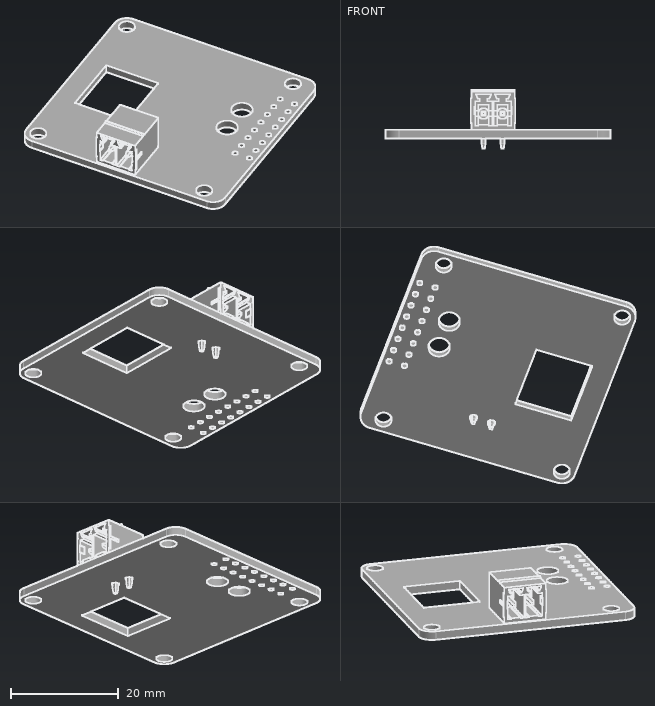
import cadquery as cq

BOARD_X = 41.9
BOARD_Y = 40.0
BOARD_T = 1.68
CORNER_R = 2.5

MOUNT_D = 3.0
MOUNT_INSET = 2.5
MOUNT_PITCH = 35.0

HEADER_D = 1.0
HEADER_COLUMNS = 2
HEADER_ROWS = 8
HEADER_PITCH_X = 3.0
HEADER_SPAN_Y = 17.75
HEADER_CENTER_Y = 3.6

CABLE_D = 4.0
CABLE_X = 11.75
CABLE_CENTER_Y = 3.48
CABLE_PITCH = 5.82

WINDOW_X = 10.98
WINDOW_Y = 12.3
WINDOW_CENTER = (-11.05, -0.35)

PIN_HOLE_D = 1.4

CONN_X = -0.92
CONN_W = 8.1
CONN_D = 9.2
CONN_H = 7.05
CONN_SETBACK = 0.4
POLE_PITCH = 3.5

LIP_T = 0.105
LIP_BOTTOM = 1.2
LIP_TOP = 5.85
LIP_BAR_D = 0.5
LIP_STEM_H = 0.5
LIP_STEM_D = 2.5

RIDGE_TOE = 3.2
RIDGE_PEAK = 3.48
RIDGE_BACK = 3.75
RIDGE_H = 0.35

CELL_W = 3.2
CELL_DEPTH = 6.7
CELL_FLOOR = 0.7
CELL_TOP = 5.25
NECK_W = 1.42
NECK_TOP = 5.75
DOVETAIL_W_LOW = 2.15
DOVETAIL_W_HIGH = 2.85
DOVETAIL_TOP = 6.58

RELIEF_DEPTH = 0.105
RELIEF_BOTTOM = 2.8
RELIEF_TOP = 4.25
RELIEF_D = 1.25

PAD_W = 1.9
PAD_TOP = 4.6
RIB_H = 0.15
BAND_H = 1.0
BAND_T = 0.25
PAD_T = 0.5
BOSS_D = 2.0
BOSS_T = 0.75

PIN_W = 0.8
PIN_Z = 2.97
PIN_TIP_W = 0.4
PIN_SETBACK = 0.85
PIN_TAPER = 0.75
LEG_BACK = 7.8
LEG_LENGTH = 1.85
LEG_TAPER = 1.0
LEG_TIP_W = 0.5

CONN_FRONT = -BOARD_Y / 2 + CONN_SETBACK
CONN_BACK = CONN_FRONT + CONN_D
CELL_BACK = CONN_FRONT + CELL_DEPTH
LEG_Y = CONN_FRONT + LEG_BACK
POLE_XS = [CONN_X - POLE_PITCH / 2, CONN_X + POLE_PITCH / 2]
MOUNT_XS = [-BOARD_X / 2 + MOUNT_INSET, -BOARD_X / 2 + MOUNT_INSET + MOUNT_PITCH]


def block(x_min, x_max, y_min, y_max, z_min, z_max):
    """Box between two corners."""
    size = (x_max - x_min, y_max - y_min, z_max - z_min)
    return cq.Workplane("XY").box(*size, centered=False).translate((x_min, y_min, z_min))


def front_plane(y):
    """Workplane facing the front, with local coordinates X and Z; extrudes toward the front."""
    return cq.Workplane("XZ", origin=(0, y, 0))


def mount_points():
    return [(x, side * MOUNT_PITCH / 2) for x in MOUNT_XS for side in (-1, 1)]


def header_points():
    first_y = HEADER_CENTER_Y - HEADER_SPAN_Y / 2
    pitch_y = HEADER_SPAN_Y / (HEADER_ROWS - 1)
    first_x = MOUNT_XS[1]
    return [
        (first_x + column * HEADER_PITCH_X, first_y + row * pitch_y)
        for column in range(HEADER_COLUMNS)
        for row in range(HEADER_ROWS)
    ]


def make_board():
    board = block(-BOARD_X / 2, BOARD_X / 2, -BOARD_Y / 2, BOARD_Y / 2, -BOARD_T, 0)
    board = board.edges("|Z").fillet(CORNER_R)
    cable_points = [(CABLE_X, CABLE_CENTER_Y + side * CABLE_PITCH / 2) for side in (-1, 1)]
    leg_points = [(x, LEG_Y) for x in POLE_XS]
    hole_groups = [
        (MOUNT_D, mount_points()),
        (HEADER_D, header_points()),
        (CABLE_D, cable_points),
        (PIN_HOLE_D, leg_points),
    ]
    for diameter, points in hole_groups:
        holes = cq.Workplane("XY").pushPoints(points).circle(diameter / 2).extrude(-BOARD_T)
        board = board.cut(holes)
    window = cq.Workplane("XY").center(*WINDOW_CENTER).rect(WINDOW_X, WINDOW_Y).extrude(-BOARD_T)
    return board.cut(window)


def side_lip(side):
    """T-shaped lip on one side wall: an upright bar along the front edge and a level stem."""
    wall = CONN_X + side * CONN_W / 2
    x_min, x_max = sorted((wall, wall + side * LIP_T))
    middle = (LIP_BOTTOM + LIP_TOP) / 2
    stem_z = (middle - LIP_STEM_H / 2, middle + LIP_STEM_H / 2)
    bar = block(x_min, x_max, CONN_FRONT, CONN_FRONT + LIP_BAR_D, LIP_BOTTOM, LIP_TOP)
    stem = block(x_min, x_max, CONN_FRONT, CONN_FRONT + LIP_STEM_D, *stem_z)
    return bar.union(stem)


def roof_ridge():
    """Triangular latch ridge across the full width of the roof."""
    profile = [
        (CONN_FRONT + RIDGE_TOE, CONN_H),
        (CONN_FRONT + RIDGE_PEAK, CONN_H + RIDGE_H),
        (CONN_FRONT + RIDGE_BACK, CONN_H),
    ]
    plane = cq.Workplane("YZ", origin=(CONN_X, 0, 0))
    return plane.polyline(profile).close().extrude(CONN_W / 2, both=True)


def cell_cavity(x):
    """Keyhole-shaped cavity: a square cell, a neck and a dovetail above it."""
    right_side = [
        (CELL_W / 2, CELL_FLOOR),
        (CELL_W / 2, CELL_TOP),
        (NECK_W / 2, CELL_TOP),
        (NECK_W / 2, NECK_TOP),
        (DOVETAIL_W_LOW / 2, NECK_TOP),
        (DOVETAIL_W_HIGH / 2, DOVETAIL_TOP),
    ]
    left_side = [(-dx, z) for dx, z in reversed(right_side)]
    outline = [(x + dx, z) for dx, z in right_side + left_side]
    return front_plane(CELL_BACK).polyline(outline).close().extrude(CELL_DEPTH)


def wall_relief(x):
    """Shallow relief in the wall of a cell on the outer side of the connector."""
    side = 1 if x > CONN_X else -1
    wall = x + side * CELL_W / 2
    x_min, x_max = sorted((wall, wall + side * RELIEF_DEPTH))
    return block(x_min, x_max, CONN_FRONT, CONN_FRONT + RELIEF_D, RELIEF_BOTTOM, RELIEF_TOP)


def cell_fittings(x):
    """Floor rib, cross band, pad and round collar inside a cell."""
    pad_x = (x - PAD_W / 2, x + PAD_W / 2)
    rib_top = CELL_FLOOR + RIB_H
    band_z = (PIN_Z - BAND_H / 2, PIN_Z + BAND_H / 2)
    rib = block(*pad_x, CONN_FRONT, CELL_BACK, CELL_FLOOR, rib_top)
    pad = block(*pad_x, CELL_BACK - PAD_T, CELL_BACK, CELL_FLOOR, PAD_TOP)
    band = block(x - CELL_W / 2, x + CELL_W / 2, CELL_BACK - BAND_T, CELL_BACK, *band_z)
    collar = front_plane(CELL_BACK).center(x, PIN_Z).circle(BOSS_D / 2).extrude(BOSS_T)
    return rib.union(pad).union(band).union(collar)


def contact_pin(x):
    """Square pin bent at a right angle: a contact in the cell and a leg through the board."""
    half = PIN_W / 2
    contact_front = CONN_FRONT + PIN_SETBACK + PIN_TAPER
    leg_taper_top = -BOARD_T - LEG_LENGTH + LEG_TAPER
    contact = block(x - half, x + half, contact_front, LEG_Y, PIN_Z - half, PIN_Z + half)
    contact_tip = (
        front_plane(contact_front).center(x, PIN_Z).rect(PIN_W, PIN_W)
        .workplane(offset=PIN_TAPER).rect(PIN_TIP_W, PIN_TIP_W).loft()
    )
    leg = block(x - half, x + half, LEG_Y - half, LEG_Y + half, leg_taper_top, PIN_Z + half)
    leg_tip = (
        cq.Workplane("XY", origin=(x, LEG_Y, leg_taper_top)).rect(PIN_W, PIN_W)
        .workplane(offset=-LEG_TAPER).rect(LEG_TIP_W, LEG_TIP_W).loft()
    )
    return contact.union(contact_tip).union(leg).union(leg_tip)


def make_connector():
    walls_x = (CONN_X - CONN_W / 2, CONN_X + CONN_W / 2)
    connector = block(*walls_x, CONN_FRONT, CONN_BACK, 0, CONN_H)
    connector = connector.union(roof_ridge())
    for side in (-1, 1):
        connector = connector.union(side_lip(side))
    for x in POLE_XS:
        connector = connector.cut(cell_cavity(x)).cut(wall_relief(x))
        connector = connector.union(cell_fittings(x)).union(contact_pin(x))
    return connector


board = make_board()
connector = make_connector()

result = cq.Compound.makeCompound([board.val(), connector.val()])